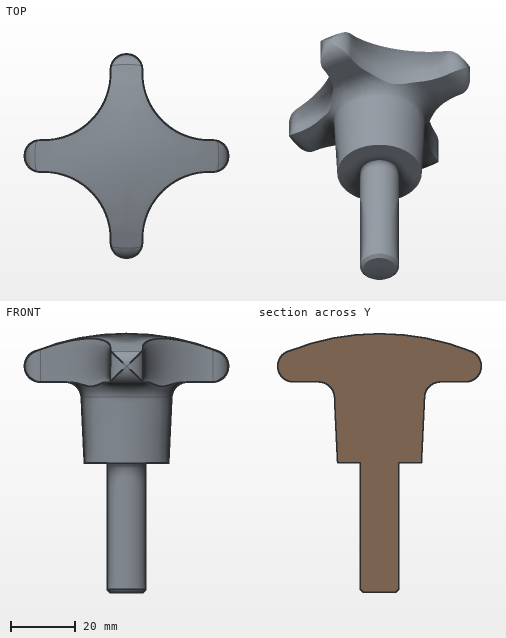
import cadquery as cq
import math

stud_length = 40
stud_radius = 6.0
stud_chamfer = 1.0

hub_bottom_radius = 13.0
flare_start_radius = 14.0
flare_start_height = 20.4
flare_outer_radius = 18.8

head_span = 63.0
head_bottom = 25.0
head_top = 40
rim_radius = 5.0

arm_count = 4
arm_half_width = 5.0
scallop_axis_distance = 15.5

rim_center_r = head_span / 2 - rim_radius
rim_center_z = head_bottom + rim_radius
crown_drop = head_top - rim_center_z
crown_radius = (rim_center_r**2 + crown_drop**2 - rim_radius**2) / (2 * (crown_drop - rim_radius))
crown_center_z = head_top - crown_radius


def crown_point(angle):
    """Radius and height on the crown at an angle from the axis."""
    return crown_radius * math.sin(angle), crown_center_z + crown_radius * math.cos(angle)


def make_head_and_hub():
    """Solid of revolution: tapered hub, concave flare, round rim and crown."""
    crown_angle = math.atan2(rim_center_r, rim_center_z - crown_center_z)
    return (
        cq.Workplane("XZ")
        .lineTo(hub_bottom_radius, 0)
        .lineTo(flare_start_radius, flare_start_height)
        .tangentArcPoint((flare_outer_radius, head_bottom), relative=False)
        .lineTo(rim_center_r, head_bottom)
        .threePointArc((head_span / 2, rim_center_z), crown_point(crown_angle))
        .threePointArc(crown_point(crown_angle / 2), (0, head_top))
        .close()
        .revolve(360, (0, 0, 0), (0, 1, 0))
    )


def make_gap_cutter():
    """Tool for one gap: half of two round arm ends, joined by a circular scallop."""
    scallop_mid = scallop_axis_distance / math.sqrt(2)
    tip = head_span / 2
    end_mid_along = rim_center_r + (tip - rim_center_r) / math.sqrt(2)
    end_mid_across = arm_half_width / math.sqrt(2)
    return (
        cq.Workplane("XY")
        .moveTo(tip, 0)
        .threePointArc((end_mid_along, end_mid_across), (rim_center_r, arm_half_width))
        .threePointArc((scallop_mid, scallop_mid), (arm_half_width, rim_center_r))
        .threePointArc((end_mid_across, end_mid_along), (0, tip))
        .lineTo(0, head_span)
        .lineTo(head_span, head_span)
        .lineTo(head_span, 0)
        .close()
        .extrude(head_top)
    )


def make_stud():
    """Plain stud below the hub with a chamfered tip."""
    return (
        cq.Workplane("XY")
        .circle(stud_radius)
        .extrude(-stud_length)
        .faces("<Z")
        .chamfer(stud_chamfer)
    )


knob = make_head_and_hub()
for arm in range(arm_count):
    knob = knob.cut(make_gap_cutter().rotate((0, 0, 0), (0, 0, 1), arm * 360 / arm_count))

result = knob.union(make_stud())